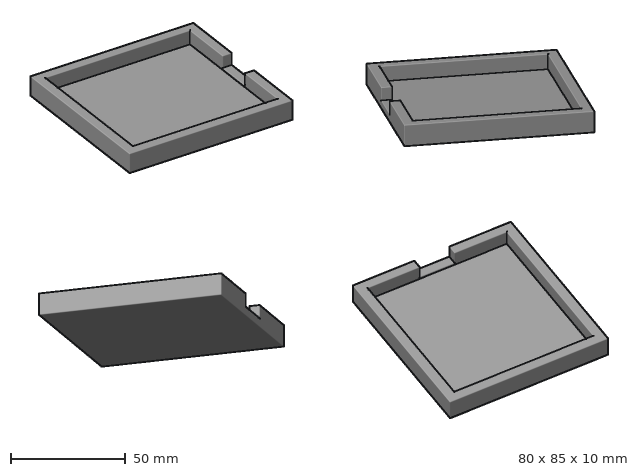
import cadquery as cq

width = 80.0
length = 85.0
height = 10.0
wall = 5.0
floor_thickness = 3.0
notch_width = 17.4
notch_floor = 4.0
edge_radius = 0.42
tolerance = 0.1

cavity_width = width - 2 * wall
cavity_length = length - 2 * wall


def block(size_x, size_y, bottom, top, center_y=0):
    """Box centred in X, spanning bottom to top in Z."""
    solid = cq.Workplane("XY").box(size_x, size_y, top - bottom, centered=(True, True, False))
    return solid.translate((0, center_y, bottom))


def make_tray():
    """Sharp-edged tray with a notch through the middle of its +Y wall."""
    body = block(width, length, 0, height)
    cavity = block(cavity_width, cavity_length, floor_thickness, height)
    notch = block(notch_width, wall, notch_floor, height, (length - wall) / 2)
    return body.cut(cavity).cut(notch)


def near(value, target):
    return abs(value - target) < tolerance


def is_exposed(edge):
    """True unless the edge lies in an inside corner of the cavity or notch."""
    center = edge.Center()
    cavity_foot = near(center.z, floor_thickness)
    cavity_corner = near(abs(center.x), cavity_width / 2) and near(abs(center.y), cavity_length / 2)
    notch_foot = near(abs(center.x), notch_width / 2) and near(center.z, notch_floor)
    return not (cavity_foot or cavity_corner or notch_foot)


result = make_tray().edges().filter(is_exposed).fillet(edge_radius)